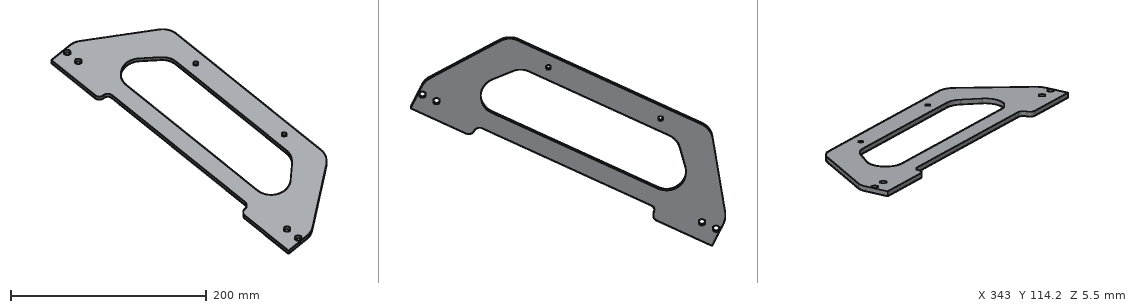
import cadquery as cq

length = 343.0
depth = 114.2
thickness = 5.5
half_length = length / 2
corner_radius = 20.0

side_height = 33.0
top_inset = 56.5
foot_width = 69.3
notch_depth = 12.5
step_radius = notch_depth / 2

window_bottom = 32.0
window_top = 88.8
window_bottom_inset = 33.3
window_top_inset = 82.5

foot_hole_diameter = 7.0
foot_hole_insets = (4.5, 20.5)
foot_hole_height = 18.5
top_hole_diameter = 5.0
top_hole_inset = 107.5
top_hole_height = 101.5


def make_plate():
    """Trapezoidal plate with rounded shoulders."""
    top_half = half_length - top_inset
    outline = [
        (-half_length, 0),
        (half_length, 0),
        (half_length, side_height),
        (top_half, depth),
        (-top_half, depth),
        (-half_length, side_height),
    ]
    plate = cq.Workplane("XY").polyline(outline).close().extrude(thickness)
    shoulders = cq.selectors.BoxSelector(
        (-length, side_height / 2, -thickness), (length, 2 * depth, 2 * thickness)
    )
    return plate.edges("|Z").edges(shoulders).fillet(corner_radius)


def make_notch():
    """Lower recess whose ends are S-curves of two quarter arcs."""
    step = half_length - foot_width
    outer = step + step_radius
    inner = step - step_radius
    return (
        cq.Workplane("XY")
        .moveTo(-outer, 0)
        .radiusArc((-step, step_radius), -step_radius)
        .radiusArc((-inner, notch_depth), step_radius)
        .lineTo(inner, notch_depth)
        .radiusArc((step, step_radius), step_radius)
        .radiusArc((outer, 0), -step_radius)
        .close()
        .extrude(thickness)
    )


def make_window():
    """Trapezoidal hand opening with rounded corners."""
    bottom_half = half_length - window_bottom_inset
    top_half = half_length - window_top_inset
    outline = [
        (-bottom_half, window_bottom),
        (bottom_half, window_bottom),
        (top_half, window_top),
        (-top_half, window_top),
    ]
    window = cq.Workplane("XY").polyline(outline).close().extrude(thickness)
    return window.edges("|Z").fillet(corner_radius)


def make_hole_pair(inset, height, diameter):
    """Two through holes, mirrored about the YZ plane."""
    x = half_length - inset
    centers = [(-x, height), (x, height)]
    return cq.Workplane("XY").pushPoints(centers).circle(diameter / 2).extrude(thickness)


result = make_plate().cut(make_notch()).cut(make_window())
result = result.cut(make_hole_pair(top_hole_inset, top_hole_height, top_hole_diameter))
for foot_hole_inset in foot_hole_insets:
    result = result.cut(make_hole_pair(foot_hole_inset, foot_hole_height, foot_hole_diameter))